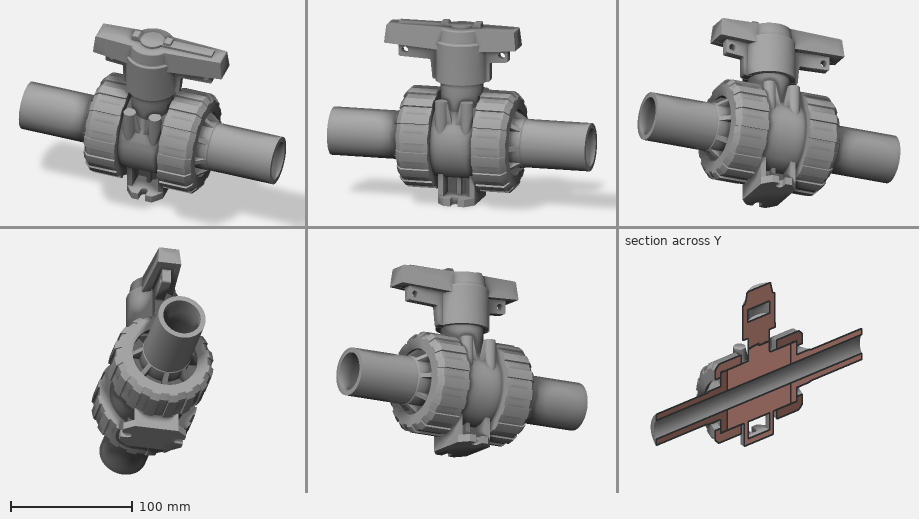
import cadquery as cq
import math

overall_length = 220.0

pipe_radius = 20.0
bore_radius = 15.8
neck_radius = 20.7
neck_start = 55.0
neck_chamfer = 0.7
flange_front = 40.7
flange_back = 34.0
pipe_rib_count = 8
pipe_rib_width = 3.7
pipe_rib_top = 27.3
pipe_rib_top_x = 44.9

nut_inner_end = 18.7
nut_outer_end = 46.9
nut_core_radius = 40.3
nut_tooth_radius = 42.0
nut_chamfer = 4.2
nut_mouth_radius = 27.5
tooth_count = 16

body_radius = 32.1
stem_radius = 17.5
neck_half_width = 15.6

post_radius = 5.0
post_x = 11.0
post_y = 25.0
post_top = 37.5
gusset_thickness = 2.6
long_gusset_end_x = 1.3
cross_gusset_x = 13.2
cross_gusset_end_y = 18.3

foot_bottom = -51.3
foot_thickness = 6.2
foot_half_length = 26.5
foot_half_width = 15.6
foot_tip_half_width = 8.8
foot_slot_width = 6.2
foot_slot_centre_y = 21.0
pedestal_half_length = 18.3
side_plate_thickness = 4.5
web_thickness = 5.7
foot_boss_radius = 5.0
foot_rib_width = 3.3
foot_rib_half_length = 9.5

ramp_high = 42.0
ramp_low = 38.5
stem_top = 66.7
sleeve_radius = 21.8
sleeve_foot_radius = 22.0
sleeve_bottom = 50.5
sleeve_shoulder = 83.2
sleeve_rounding = 1.5
sleeve_slot_width = 9.5

lever_top = 95.7
lever_left = -48.6
lever_right = 64.2
lever_bottom = 77.9
lever_tip_bottom = 80.0
lever_hub_x = 12.0
lever_flat_half_length = 17.5
lever_left_half_width = 11.0
lever_hub_half_width = 13.5
lever_right_half_width = 10.1
lever_channel_width = 12.3
lever_draft = 6.0
lever_edge_rounding = 1.3
hub_base_z = 85.5
hub_base_radius = 19.8
hub_top_radius = 18.3
hub_rounding = 1.3

fin_width = 7.5
fin_top = 81.5
fin_left = -40.0
fin_right = 53.2
fin_tip_bottom = 68.2
fin_root_bottom = 67.0
fin_skirt_left = -24.5
fin_skirt_right = 24.2
fin_skirt_right_top = 26.0
fin_corner_rounding = 1.5
fin_hole_radius = 2.9
fin_hole_z = 73.5
fin_hole_inset = 5.3

cap_radius = 10.0
cap_top = 97.7
strip_width = 8.8
strip_end = 53.2
stop_width = 8.0
stop_top = 100.0
stop_outer_x = 17.0
stop_inner_x = 11.5
stop_foot_x = 8.8
stop_rounding = 0.9

pipe_end_x = overall_length / 2


def x_cylinder(radius, start, end):
    return cq.Workplane("YZ").workplane(offset=start).circle(radius).extrude(end - start)


def z_cylinder(radius, bottom, top):
    return cq.Workplane("XY").workplane(offset=bottom).circle(radius).extrude(top - bottom)


def block(x_range, y_range, z_range):
    (x0, x1), (y0, y1), (z0, z1) = x_range, y_range, z_range
    return cq.Workplane("XY").box(x1 - x0, y1 - y0, z1 - z0, centered=False).translate((x0, y0, z0))


def xz_plate(points, thickness):
    """Plate with an outline in the XZ plane, centred on Y = 0."""
    return cq.Workplane("XZ").polyline(points).close().extrude(thickness / 2, both=True)


def make_pipe_end():
    """Pipe, neck and collar on the +X side, with ribs between neck and collar."""
    profile = [
        (pipe_end_x, bore_radius),
        (pipe_end_x, pipe_radius),
        (neck_start, pipe_radius),
        (neck_start - neck_chamfer, neck_radius),
        (flange_front, neck_radius),
        (flange_front, body_radius),
        (flange_back, body_radius),
        (flange_back, bore_radius),
    ]
    pipe = cq.Workplane("XZ").polyline(profile).close().revolve(360, (0, 0, 0), (1, 0, 0))
    rib_root_radius = (bore_radius + pipe_radius) / 2
    rib_outline = [
        (neck_start, rib_root_radius),
        (neck_start, pipe_radius),
        (pipe_rib_top_x, pipe_rib_top),
        (flange_front, pipe_rib_top),
        (flange_front, rib_root_radius),
    ]
    for k in range(pipe_rib_count):
        rib = xz_plate(rib_outline, pipe_rib_width)
        pipe = pipe.union(rib.rotate((0, 0, 0), (1, 0, 0), k * 360 / pipe_rib_count))
    return pipe


def make_nut():
    """Toothed nut on the +X side; its mouth holds the collar of the pipe end."""
    def chamfered_blank(radius):
        return x_cylinder(radius, nut_inner_end, nut_outer_end).faces(">X").chamfer(nut_chamfer)

    pitch = 360 / tooth_count
    reach = 2 * nut_tooth_radius
    half_opening = reach * math.tan(math.radians(pitch / 4))
    sector = (
        cq.Workplane("YZ").workplane(offset=nut_inner_end)
        .polyline([(0, 0), (reach, -half_opening), (reach, half_opening)]).close()
        .extrude(nut_outer_end - nut_inner_end)
    )
    nut = chamfered_blank(nut_core_radius)
    tooth = chamfered_blank(nut_tooth_radius).intersect(sector)
    for k in range(tooth_count):
        nut = nut.union(tooth.rotate((0, 0, 0), (1, 0, 0), (k + 0.5) * pitch))
    nut = nut.cut(x_cylinder(body_radius, nut_inner_end, flange_front))
    return nut.cut(x_cylinder(nut_mouth_radius, nut_inner_end, nut_outer_end))


def make_stem_end():
    """Part of the round stem below the sleeve; its lower end has one arched ramp in each quarter turn."""
    stem = z_cylinder(stem_radius, ramp_high, sleeve_bottom)
    drop = ramp_high - ramp_low
    ramp_arc_radius = (stem_radius ** 2 + drop ** 2) / (2 * drop)
    ramp = (
        cq.Workplane("XZ")
        .moveTo(0, ramp_high)
        .radiusArc((stem_radius, ramp_low), ramp_arc_radius)
        .lineTo(stem_radius, ramp_high)
        .close()
        .extrude(stem_radius)
        .intersect(z_cylinder(stem_radius, ramp_low, ramp_high))
    )
    for k in range(4):
        stem = stem.union(ramp.rotate((0, 0, 0), (0, 0, 1), 90 * k))
    return stem


def make_sleeve_and_hub():
    """Solid sleeve, rounded shoulder and tapered hub around the spindle axis."""
    rounding_mid = sleeve_rounding * math.sqrt(0.5)
    shoulder_top = sleeve_shoulder + sleeve_rounding
    shoulder_radius = sleeve_radius - sleeve_rounding
    profile = (
        cq.Workplane("XZ")
        .moveTo(0, sleeve_bottom)
        .lineTo(sleeve_foot_radius, sleeve_bottom)
        .lineTo(sleeve_radius, sleeve_shoulder)
        .threePointArc(
            (shoulder_radius + rounding_mid, sleeve_shoulder + rounding_mid),
            (shoulder_radius, shoulder_top),
        )
        .lineTo(hub_base_radius, hub_base_z)
        .lineTo(hub_top_radius, lever_top)
        .lineTo(0, lever_top)
        .close()
    )
    return profile.revolve(360, (0, 0, 0), (0, 1, 0)).faces(">Z").edges().fillet(hub_rounding)


def make_sleeve_hollow():
    """Room above the stem, open to both ends through a slot along X that clears the fin."""
    slot_half = sleeve_slot_width / 2
    slot_x = (-sleeve_foot_radius, sleeve_foot_radius)
    slot = block(slot_x, (-slot_half, slot_half), (sleeve_bottom, lever_tip_bottom))
    slot = slot.cut(z_cylinder(stem_radius, sleeve_bottom, stem_top))
    return slot.union(z_cylinder(stem_radius, stem_top, lever_tip_bottom))


def make_lever():
    outline = [
        (lever_left, -lever_left_half_width),
        (-lever_hub_x, -lever_hub_half_width),
        (lever_hub_x, -lever_hub_half_width),
        (lever_right, -lever_right_half_width),
        (lever_right, lever_right_half_width),
        (lever_hub_x, lever_hub_half_width),
        (-lever_hub_x, lever_hub_half_width),
        (lever_left, lever_left_half_width),
    ]
    lever = (
        cq.Workplane("XY").workplane(offset=lever_bottom)
        .polyline(outline).close()
        .extrude(lever_top - lever_bottom, taper=lever_draft)
    )
    lever = lever.faces(">Z").edges("|Y").fillet(lever_edge_rounding)
    side = [
        (lever_left, lever_tip_bottom),
        (-lever_flat_half_length, lever_bottom),
        (lever_flat_half_length, lever_bottom),
        (lever_right, lever_tip_bottom),
        (lever_right, lever_top),
        (lever_left, lever_top),
    ]
    lever = lever.intersect(xz_plate(side, 2 * lever_hub_half_width))
    channel_half = lever_channel_width / 2
    channel_x = (lever_left, lever_right)
    return lever.cut(block(channel_x, (-channel_half, channel_half), (lever_bottom, lever_tip_bottom)))


def make_fin():
    """Flat fin under the lever, with a skirt beside the sleeve and a hole near each end."""
    outline = [
        (fin_left, fin_top),
        (fin_left, fin_tip_bottom),
        (fin_skirt_left, fin_root_bottom),
        (fin_skirt_left, sleeve_bottom),
        (fin_skirt_right, sleeve_bottom),
        (fin_skirt_right_top, fin_root_bottom),
        (fin_right, fin_tip_bottom),
        (fin_right, fin_top),
    ]
    fin = xz_plate(outline, fin_width)
    lower_corners = cq.selectors.BoxSelector(
        (2 * fin_left, -fin_width, 0),
        (2 * fin_right, fin_width, fin_hole_z),
    )
    fin = fin.edges("|Y").edges(lower_corners).fillet(fin_corner_rounding)
    hole_centres = [(fin_left + fin_hole_inset, fin_hole_z), (fin_right - fin_hole_inset, fin_hole_z)]
    holes = cq.Workplane("XZ").pushPoints(hole_centres).circle(fin_hole_radius).extrude(fin_width, both=True)
    return fin.cut(holes)


def make_stop():
    """Raised stop on the +X side of the cap, sloping down towards it."""
    outline = [
        (stop_foot_x, lever_top),
        (stop_inner_x, stop_top),
        (stop_outer_x, stop_top),
        (stop_outer_x, lever_top),
    ]
    return xz_plate(outline, stop_width).edges("|Y and >X and >Z").fillet(stop_rounding)


def make_handle():
    strip_half = strip_width / 2
    handle = make_sleeve_and_hub().cut(make_sleeve_hollow()).union(make_lever())
    handle = handle.union(make_fin()).union(make_stem_end())
    handle = handle.union(z_cylinder(cap_radius, lever_top, cap_top))
    handle = handle.union(block((0, strip_end), (-strip_half, strip_half), (lever_top, cap_top)))
    stop = make_stop()
    return handle.union(stop).union(stop.mirror("YZ"))


def make_post():
    """Post at +X +Y with one gusset along X and one along Y."""
    post = cq.Workplane("XY").center(post_x, post_y).circle(post_radius).extrude(post_top)
    long_gusset_bottom = math.sqrt(body_radius ** 2 - (post_y + gusset_thickness / 2) ** 2)
    long_gusset = xz_plate(
        [
            (post_x, 0),
            (long_gusset_end_x, 0),
            (long_gusset_end_x, long_gusset_bottom),
            (post_x - post_radius, post_top),
            (post_x, post_top),
        ],
        gusset_thickness,
    ).translate((0, post_y, 0))
    cross_gusset_bottom = math.sqrt(body_radius ** 2 - cross_gusset_end_y ** 2)
    cross_gusset = (
        cq.Workplane("YZ").workplane(offset=cross_gusset_x - gusset_thickness / 2)
        .polyline([
            (post_y, 0),
            (cross_gusset_end_y, 0),
            (cross_gusset_end_y, cross_gusset_bottom),
            (post_y - post_radius, post_top),
            (post_y, post_top),
        ]).close()
        .extrude(gusset_thickness)
    )
    return post.union(long_gusset).union(cross_gusset)


def make_foot():
    plate_top = foot_bottom + foot_thickness
    corner = [
        (foot_half_width, pedestal_half_length),
        (foot_tip_half_width, foot_half_length),
        (-foot_tip_half_width, foot_half_length),
        (-foot_half_width, pedestal_half_length),
    ]
    outline = corner + [(-x, -y) for x, y in corner]
    foot = cq.Workplane("XY").workplane(offset=foot_bottom).polyline(outline).close().extrude(foot_thickness)
    slot_half = foot_slot_width / 2
    for side in (-1, 1):
        slot_end = z_cylinder(slot_half, foot_bottom, plate_top).translate((0, side * foot_slot_centre_y, 0))
        slot_y = sorted((side * foot_slot_centre_y, side * foot_half_length))
        foot = foot.cut(slot_end).cut(block((-slot_half, slot_half), slot_y, (foot_bottom, plate_top)))
    rise = (foot_bottom, 0)
    pedestal_y = (-pedestal_half_length, pedestal_half_length)
    inner_face = foot_half_width - side_plate_thickness
    foot = foot.union(block((-foot_half_width, -inner_face), pedestal_y, rise))
    foot = foot.union(block((inner_face, foot_half_width), pedestal_y, rise))
    foot = foot.union(block((-inner_face, inner_face), (-web_thickness / 2, web_thickness / 2), rise))
    foot = foot.union(z_cylinder(foot_boss_radius, *rise))
    rib_x = (-foot_rib_width / 2, foot_rib_width / 2)
    return foot.union(block(rib_x, (-foot_rib_half_length, foot_rib_half_length), rise))


def make_body():
    body = x_cylinder(body_radius, -flange_back, flange_back)
    neck_flats = block((-neck_half_width, neck_half_width), (-stem_radius, stem_radius), (0, ramp_high))
    neck = z_cylinder(stem_radius, 0, ramp_high).intersect(neck_flats).cut(make_stem_end())
    body = body.union(neck).union(make_foot())
    post = make_post()
    for quarter in (post, post.mirror("YZ"), post.mirror("XZ"), post.mirror("YZ").mirror("XZ")):
        body = body.union(quarter)
    return body.cut(x_cylinder(bore_radius, -flange_back, flange_back))


body = make_body()
handle = make_handle()
pipe_end = make_pipe_end()
nut = make_nut()
sides = []
for part in (pipe_end, nut):
    sides.append(part.solids().val())
    sides.append(part.mirror("YZ").solids().val())

result = cq.Compound.makeCompound([body.solids().val(), handle.solids().val(), *sides])